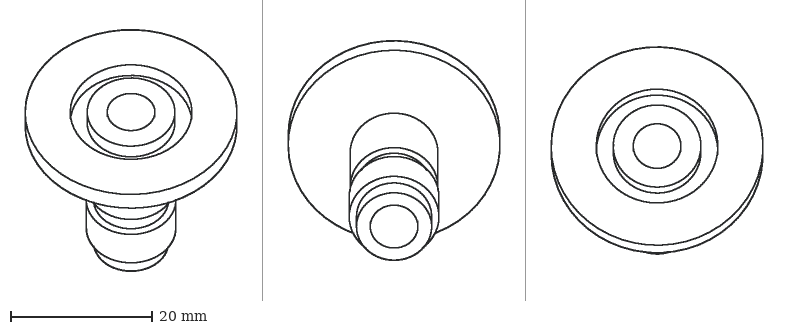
import cadquery as cq

flange_diameter = 29.97
groove_outer_diameter = 17.2
shaft_diameter = 12.4
collar_diameter = 12.7
neck_diameter = 10.65
bore_diameter = 6.75

total_height = 29.22
end_length = 3.18
collar_length = 6.38
neck_length = 3.18
cone_height = 2.3
flange_thickness = 3.1
groove_depth = 2.4

collar_bottom = end_length
collar_top = collar_bottom + collar_length
shaft_bottom = collar_top + neck_length
flange_bottom = total_height - flange_thickness
shaft_top = flange_bottom - cone_height


def cylinder(diameter, bottom, top):
    """Upright cylinder on the Z axis between two heights."""
    return cq.Workplane("XY").workplane(offset=bottom).circle(diameter / 2).extrude(top - bottom)


def flange_with_cone():
    """Flange disc whose underside tapers down to the shaft."""
    return (
        cq.Workplane("XZ")
        .moveTo(0, shaft_top)
        .lineTo(shaft_diameter / 2, shaft_top)
        .lineTo(flange_diameter / 2, flange_bottom)
        .lineTo(flange_diameter / 2, total_height)
        .lineTo(0, total_height)
        .close()
        .revolve(360, (0, 0, 0), (0, 1, 0))
    )


def face_groove():
    """Ring cut into the flange face, leaving a flush central boss."""
    groove_bottom = total_height - groove_depth
    outer = cylinder(groove_outer_diameter, groove_bottom, total_height)
    return outer.cut(cylinder(shaft_diameter, groove_bottom, total_height))


stem = (
    cylinder(neck_diameter, 0, shaft_top)
    .union(cylinder(collar_diameter, collar_bottom, collar_top))
    .union(cylinder(shaft_diameter, shaft_bottom, shaft_top))
)

result = (
    stem.union(flange_with_cone())
    .cut(face_groove())
    .cut(cylinder(bore_diameter, 0, total_height))
)